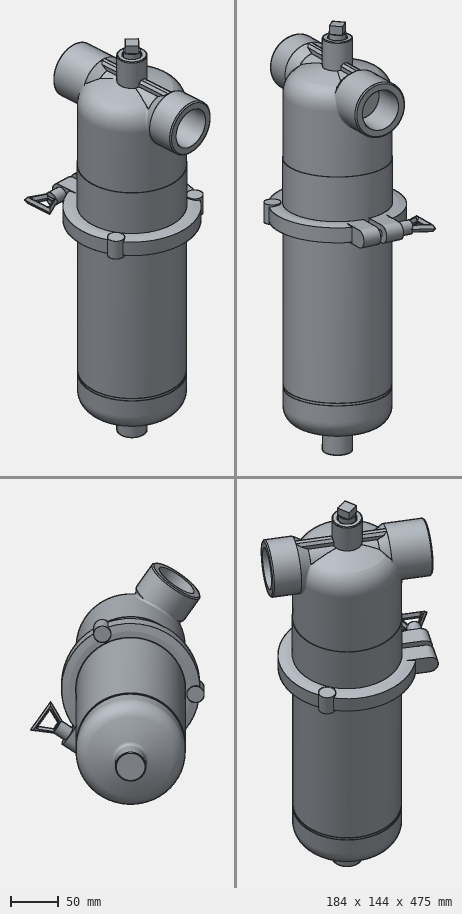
import cadquery as cq
import math

total_height = 475.0

shell_radius = 57.0
band_radius = 57.5
band_top_z = 326.0
clamp_center_z = 266.5
clamp_height = 19.5

weld_bottom_z = 71.0
weld_width = 3.0
weld_depth = 0.5

top_shoulder_z = 398.5
top_shoulder_height = 23.0
top_crown_radius = 43.0
top_crown_rise = 8.0
bottom_shoulder_z = 51.0
bottom_shoulder_height = 18.0
bottom_crown_radius = 45.0
bottom_crown_rise = 10.0

stub_radius = 32.0 / 2
outlet_fillet = 4.0
stub_edge_chamfer = 1.0
boss_top_z = 460.5

plug_neck_radius = 18.0 / 2
plug_recess_radius = 10.5
plug_recess_depth = 2.5
plug_head_side = 14.2
plug_head_height = 9.5

port_radius = 61.0 / 2
port_z = 406.0
port_end_x = 85.5
port_bore_radius = 43.0 / 2
port_bore_depth = 38.0
port_mouth_radius = 44.0 / 2
port_mouth_depth = 14.2
port_edge_chamfer = 1.5
duct_radius = 23.8
port_seam_fillet = 2.0
left_port_inner_x = 42.0
left_duct_end_x = 31.5
right_port_inner_x = 55.0
right_duct_end_x = 42.8

rib_width = 10.5
rib_chamfer = 3.0

clamp_radius = 72.0
clamp_flat_radius = 63.5
clamp_edge_drop = 1.5
clamp_gap = 7.0

hinge_radius = 18.0 / 2
hinge_height = 22.0
hinge_distance = 68.0
hinge_angle = 60.0

ear_tip_x = -92.0
ear_outer_y = 24.0

bolt_x = -79.5
bolt_radius = 4.0
knob_radius = 7.5
knob_end_y = -39.5
handle_thickness = 7.5
handle_bevel_width = 2.0
handle_top_y = -36.0
handle_bottom_y = -60.0
handle_top_half_width = 7.0
handle_bottom_half_width = 19.0
window_top_y = -40.5
window_bottom_y = -55.5
window_top_half_width = 4.0
window_bottom_half_width = 11.0


def dome_points(crown_radius, shoulder_height, crown_rise):
    """Points of a domed end as (radius, height above the shoulder line):
    middle and end of the shoulder arc, middle of the crown arc, and apex."""
    shoulder_angle = 2 * math.atan((shell_radius - crown_radius) / shoulder_height)
    shoulder_arc = shoulder_height / math.sin(shoulder_angle)
    shoulder_mid = (
        shell_radius - shoulder_arc * (1 - math.cos(shoulder_angle / 2)),
        shoulder_arc * math.sin(shoulder_angle / 2),
    )
    shoulder_end = (crown_radius, shoulder_height)
    crown_arc = (crown_radius**2 + crown_rise**2) / (2 * crown_rise)
    crown_angle = math.asin(crown_radius / crown_arc)
    apex = (0, shoulder_height + crown_rise)
    crown_mid = (
        crown_arc * math.sin(crown_angle / 2),
        apex[1] - crown_arc * (1 - math.cos(crown_angle / 2)),
    )
    return [shoulder_mid, shoulder_end, crown_mid, apex]


def make_shell():
    """Revolved vessel wall with both domed ends and the outlet."""
    band_bottom_z = clamp_center_z - clamp_height / 2
    weld_radius = shell_radius - weld_depth
    weld_top_z = weld_bottom_z + weld_width
    top = [
        (r, top_shoulder_z + h)
        for r, h in dome_points(top_crown_radius, top_shoulder_height, top_crown_rise)
    ]
    bottom = [
        (r, bottom_shoulder_z - h)
        for r, h in dome_points(bottom_crown_radius, bottom_shoulder_height, bottom_crown_rise)
    ]
    shell = (
        cq.Workplane("XZ")
        .moveTo(*bottom[3])
        .threePointArc(bottom[2], bottom[1])
        .threePointArc(bottom[0], (shell_radius, bottom_shoulder_z))
        .lineTo(shell_radius, weld_bottom_z)
        .lineTo(weld_radius, weld_bottom_z)
        .lineTo(weld_radius, weld_top_z)
        .lineTo(shell_radius, weld_top_z)
        .lineTo(shell_radius, band_bottom_z)
        .lineTo(band_radius, band_bottom_z)
        .lineTo(band_radius, band_top_z)
        .lineTo(shell_radius, band_top_z)
        .lineTo(shell_radius, top_shoulder_z)
        .threePointArc(top[0], top[1])
        .threePointArc(top[2], top[3])
        .close()
        .revolve(360, (0, 0), (0, 1))
    )
    outlet = cq.Workplane("XY").circle(stub_radius).extrude(bottom_shoulder_z)
    outlet = outlet.faces("<Z").chamfer(stub_edge_chamfer)
    shell = shell.union(outlet)
    neck_zone = cq.selectors.BoxSelector(
        (-stub_radius, -stub_radius, bottom[3][1]),
        (stub_radius, stub_radius, bottom[1][1]),
    )
    return shell.edges(neck_zone).fillet(outlet_fillet)


def revolve_along_x(side, half_profile):
    """Round body on the port axis from (distance, radius) points, on side -1 or +1."""
    return (
        cq.Workplane("XZ")
        .polyline([(side * x, r) for x, r in half_profile])
        .close()
        .revolve(360, (0, 0), (1, 0))
        .translate((0, 0, port_z))
    )


def make_port(side, inner_x, duct_end_x):
    """Solid port: duct, widening cone and pipe end."""
    return revolve_along_x(side, [
        (0, 0),
        (0, duct_radius),
        (duct_end_x, duct_radius),
        (inner_x, port_radius),
        (port_end_x - port_edge_chamfer, port_radius),
        (port_end_x, port_radius - port_edge_chamfer),
        (port_end_x, 0),
    ])


def make_bore(side):
    """Blind port bore, tapering from its mouth to the straight part."""
    return revolve_along_x(side, [
        (port_end_x - port_bore_depth, 0),
        (port_end_x - port_bore_depth, port_bore_radius),
        (port_end_x - port_mouth_depth, port_bore_radius),
        (port_end_x, port_mouth_radius),
        (port_end_x, 0),
    ])


def make_rib():
    """Rib running along the top of both ducts, flush with the top of the ports."""
    length = left_port_inner_x + right_port_inner_x
    return (
        cq.Workplane("XY")
        .box(length, rib_width, port_radius, centered=(False, True, False))
        .edges("|X and >Z")
        .chamfer(rib_chamfer)
        .translate((-left_port_inner_x, 0, port_z))
    )


def make_boss_with_plug():
    """Boss on the upper dome with the square-headed vent plug."""
    head_bottom_z = total_height - plug_head_height
    boss = (
        cq.Workplane("XY", origin=(0, 0, top_shoulder_z))
        .circle(stub_radius)
        .extrude(boss_top_z - top_shoulder_z)
        .faces(">Z")
        .chamfer(stub_edge_chamfer)
    )
    recess = (
        cq.Workplane("XY", origin=(0, 0, boss_top_z - plug_recess_depth))
        .circle(plug_recess_radius)
        .extrude(plug_recess_depth)
    )
    neck = (
        cq.Workplane("XY", origin=(0, 0, boss_top_z - plug_recess_depth))
        .circle(plug_neck_radius)
        .extrude(head_bottom_z - boss_top_z + plug_recess_depth)
    )
    head = (
        cq.Workplane("XY", origin=(0, 0, head_bottom_z))
        .rect(plug_head_side, plug_head_side)
        .extrude(plug_head_height)
        .rotate((0, 0, 0), (0, 0, 1), 45)
    )
    return boss.cut(recess).union(neck).union(head)


def make_vessel():
    vessel = (
        make_shell()
        .union(make_port(-1, left_port_inner_x, left_duct_end_x))
        .union(make_port(1, right_port_inner_x, right_duct_end_x))
    )
    seam_zone = cq.selectors.BoxSelector(
        (-port_end_x, -port_radius, port_z - port_radius),
        (port_end_x, port_radius, port_z + port_radius / 2),
    )
    vessel = vessel.edges("%BSPLINE").edges(seam_zone).fillet(port_seam_fillet)
    vessel = vessel.union(make_rib()).union(make_boss_with_plug())
    for side in (-1, 1):
        vessel = vessel.cut(make_bore(side))
    return vessel


def make_clamp_ring():
    """Ring hugging the vessel, its top and bottom falling off towards the rim."""
    half_height = clamp_height / 2
    rim_half_height = half_height - clamp_edge_drop
    return (
        cq.Workplane("XZ")
        .polyline([
            (band_radius, -half_height),
            (clamp_flat_radius, -half_height),
            (clamp_radius, -rim_half_height),
            (clamp_radius, rim_half_height),
            (clamp_flat_radius, half_height),
            (band_radius, half_height),
        ])
        .close()
        .revolve(360, (0, 0), (0, 1))
    )


def make_ears():
    """Round-ended block for both ears, clear of the vessel."""
    half_height = clamp_height / 2
    round_center_x = ear_tip_x + half_height
    root_x = -band_radius + half_height
    block = (
        cq.Workplane("XZ", origin=(0, ear_outer_y, 0))
        .moveTo(root_x, -half_height)
        .lineTo(round_center_x, -half_height)
        .threePointArc((ear_tip_x, 0), (round_center_x, half_height))
        .lineTo(root_x, half_height)
        .close()
        .extrude(2 * ear_outer_y)
    )
    vessel_space = cq.Workplane("XY").circle(band_radius).extrude(half_height, both=True)
    return block.cut(vessel_space)


def make_gap():
    """Slot between the ears, from the clamp axis to well past the ear tips."""
    gap_length = -2 * ear_tip_x
    return cq.Workplane("XY").box(gap_length, clamp_gap, clamp_height).translate((ear_tip_x, 0, 0))


def make_hinge_pin(angle):
    pin = cq.Workplane("XY").circle(hinge_radius).extrude(hinge_height)
    return pin.translate((hinge_distance, 0, -hinge_height / 2)).rotate((0, 0, 0), (0, 0, 1), angle)


def make_bolt():
    """Rod through both ears and the round knob outside the ear."""
    rod = cq.Workplane("XZ").center(bolt_x, 0).circle(bolt_radius).extrude(ear_outer_y, both=True)
    knob = (
        cq.Workplane("XZ", origin=(bolt_x, -ear_outer_y, 0))
        .circle(knob_radius)
        .extrude(-ear_outer_y - knob_end_y)
    )
    return rod.union(knob)


def trapezoid(top_half_width, top_y, bottom_half_width, bottom_y):
    """Outline in the middle plane of the handle, centred on the bolt axis."""
    return (
        cq.Workplane("XY", origin=(bolt_x, 0, 0))
        .polyline([
            (-top_half_width, top_y),
            (top_half_width, top_y),
            (bottom_half_width, bottom_y),
            (-bottom_half_width, bottom_y),
        ])
        .close()
    )


def make_handle():
    """Triangular pull with an open window, its bars bevelled to a ridge at mid height."""
    half_thickness = handle_thickness / 2
    bevel_angle = math.degrees(math.atan(handle_bevel_width / half_thickness))
    outside = trapezoid(
        handle_top_half_width, handle_top_y, handle_bottom_half_width, handle_bottom_y
    ).extrude(half_thickness, taper=bevel_angle)
    window = trapezoid(
        window_top_half_width, window_top_y, window_bottom_half_width, window_bottom_y
    ).extrude(half_thickness, taper=-bevel_angle)
    upper_half = outside.cut(window)
    return upper_half.union(upper_half.mirror("XY"))


def make_clamp():
    clamp = make_clamp_ring().union(make_ears()).cut(make_gap())
    for angle in (-hinge_angle, hinge_angle):
        clamp = clamp.union(make_hinge_pin(angle))
    clamp = clamp.union(make_bolt()).union(make_handle())
    return clamp.translate((0, 0, clamp_center_z))


vessel = make_vessel()
clamp = make_clamp()
result = cq.Compound.makeCompound([vessel.val(), clamp.val()])